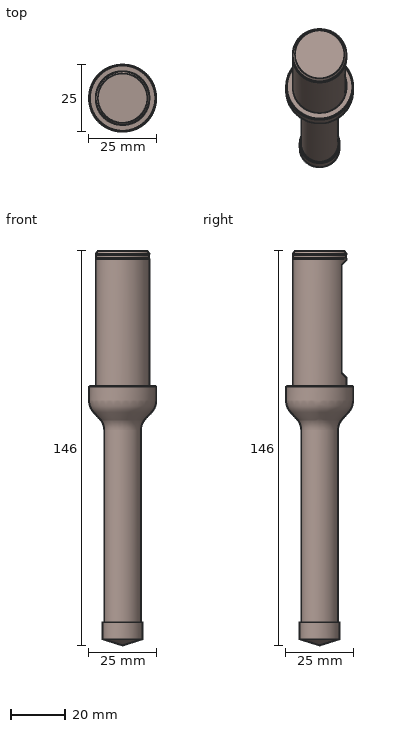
import cadquery as cq
import math

LENGTH = 146.0

TIP_DIAMETER = 14.9
TIP_TOP = 8.6
POINT_HEIGHT = 2.3

NECK_DIAMETER = 13.7
NECK_TOP = 79.7
COLLAR_DIAMETER = 25.0
COLLAR_BOTTOM = 90.7
COLLAR_TOP = 96.0
COLLAR_CHAMFER = 0.5
SHANK_DIAMETER = 20.0
SHANK_CHAMFER_WIDTH = 0.9
SHANK_CHAMFER_HEIGHT = 1.2

NECK_FILLET_RADIUS = 6.1
NECK_FILLET_HEIGHT = 3.5

GROOVE_TOP = LENGTH - SHANK_CHAMFER_HEIGHT
GROOVE_BOTTOM = 143.0
GROOVE_DEPTH = 0.1
GROOVE_SIDE_HEIGHT = 0.5

FLAT_DEPTH = 1.8
FLAT_BOTTOM = 99.0
FLAT_TOP = 142.6

tip_radius = TIP_DIAMETER / 2
neck_radius = NECK_DIAMETER / 2
collar_radius = COLLAR_DIAMETER / 2
shank_radius = SHANK_DIAMETER / 2


def make_drill_tip():
    """Cylindrical cutting tip with a conical point."""
    return (
        cq.Workplane("XZ")
        .lineTo(tip_radius, POINT_HEIGHT)
        .lineTo(tip_radius, TIP_TOP)
        .lineTo(0, TIP_TOP)
        .close()
        .revolve(360, (0, 0), (0, 1))
    )


def neck_fillet_point(angle):
    """Point on the neck fillet, at an angle measured from its tangent lower end."""
    radius = neck_radius + NECK_FILLET_RADIUS * (1 - math.cos(angle))
    return radius, NECK_TOP + NECK_FILLET_RADIUS * math.sin(angle)


def make_holder_body():
    """Neck, flare, collar and shank turned as one piece."""
    fillet_angle = math.asin(NECK_FILLET_HEIGHT / NECK_FILLET_RADIUS)
    flare_start = neck_fillet_point(fillet_angle)
    flare_end = (collar_radius, COLLAR_BOTTOM)
    flare_start_direction = (math.sin(fillet_angle), math.cos(fillet_angle))
    flare_end_direction = (0, 1)
    return (
        cq.Workplane("XZ")
        .moveTo(0, TIP_TOP)
        .lineTo(neck_radius, TIP_TOP)
        .lineTo(neck_radius, NECK_TOP)
        .threePointArc(neck_fillet_point(fillet_angle / 2), flare_start)
        .spline([flare_end], tangents=[flare_start_direction, flare_end_direction], includeCurrent=True)
        .lineTo(collar_radius, COLLAR_TOP - COLLAR_CHAMFER)
        .lineTo(collar_radius - COLLAR_CHAMFER, COLLAR_TOP)
        .lineTo(shank_radius, COLLAR_TOP)
        .lineTo(shank_radius, GROOVE_TOP)
        .lineTo(shank_radius - SHANK_CHAMFER_WIDTH, LENGTH)
        .lineTo(0, LENGTH)
        .close()
        .revolve(360, (0, 0), (0, 1))
    )


def make_groove_cutter():
    """Ring with sloped sides that cuts the shallow groove around the shank end."""
    floor_radius = shank_radius - GROOVE_DEPTH
    return (
        cq.Workplane("XZ")
        .moveTo(shank_radius, GROOVE_TOP)
        .lineTo(floor_radius, GROOVE_TOP - GROOVE_SIDE_HEIGHT)
        .lineTo(floor_radius, GROOVE_BOTTOM + GROOVE_SIDE_HEIGHT)
        .lineTo(shank_radius, GROOVE_BOTTOM)
        .close()
        .revolve(360, (0, 0), (0, 1))
    )


def make_flat_cutter():
    """Trapezoidal bar that cuts the clamping flat and its sloped ends."""
    return (
        cq.Workplane("YZ")
        .moveTo(shank_radius, FLAT_BOTTOM)
        .lineTo(shank_radius, FLAT_TOP)
        .lineTo(shank_radius - FLAT_DEPTH, FLAT_TOP - FLAT_DEPTH)
        .lineTo(shank_radius - FLAT_DEPTH, FLAT_BOTTOM + FLAT_DEPTH)
        .close()
        .extrude(shank_radius, both=True)
    )


drill_tip = make_drill_tip()
holder = make_holder_body().cut(make_groove_cutter()).cut(make_flat_cutter())

result = cq.Compound.makeCompound([holder.val(), drill_tip.val()])